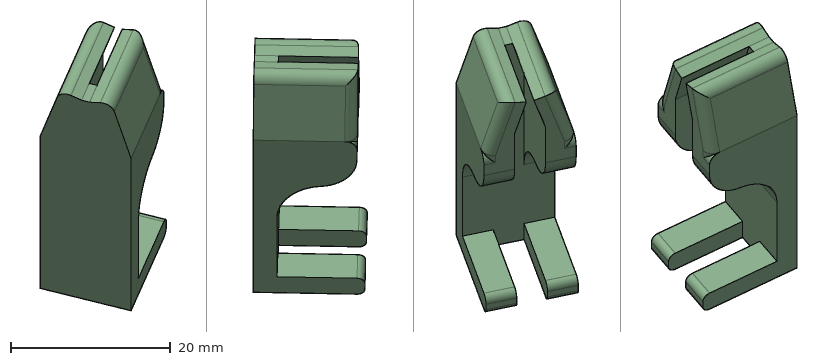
import math

import cadquery as cq

width = 12.0
height = 37.45
plate_thickness = 3.0

head_depth = 13.0
taper_angle = math.radians(15.5)
taper_base_z = 28.4
crown_radius = 1.5
crown_slope = taper_angle
valley_z = 37.0
head_edge_radius = 1.5

slot_mouth = 1.0
slot_flare_angle = taper_angle

arm_corner_radius = 1.5
belly_radius = 5.0
throat_radius = 6.0
throat_center_z = 14.0

leg_length = 14.0
leg_height = 3.0
leg_gap = 4.0
leg_tip_radius = 1.0

half_width = width / 2


def front_profile():
    """Outline in XZ: straight sides, taper, rounded shoulders and a shallow valley on top."""
    center_z = height - crown_radius
    center_x = (
        half_width
        - (center_z - taper_base_z) * math.tan(taper_angle)
        - crown_radius / math.cos(taper_angle)
    )
    outer_x = center_x + crown_radius * math.cos(taper_angle)
    outer_z = center_z + crown_radius * math.sin(taper_angle)
    inner_x = center_x - crown_radius * math.sin(crown_slope)
    inner_z = center_z + crown_radius * math.cos(crown_slope)
    valley_x = inner_x - (inner_z - valley_z) / math.tan(crown_slope)
    return (
        cq.Workplane("XZ")
        .moveTo(-half_width, 0)
        .lineTo(half_width, 0)
        .lineTo(half_width, taper_base_z)
        .lineTo(outer_x, outer_z)
        .threePointArc((center_x, height), (inner_x, inner_z))
        .lineTo(valley_x, valley_z)
        .lineTo(-valley_x, valley_z)
        .lineTo(-inner_x, inner_z)
        .threePointArc((-center_x, height), (-outer_x, outer_z))
        .lineTo(-half_width, taper_base_z)
        .close()
    )


def make_plate():
    return front_profile().extrude(-plate_thickness)


def make_rounded_envelope():
    """Block with the same sides and taper as the head, its far side edges rounded."""
    top_half_width = half_width - (height - taper_base_z) * math.tan(taper_angle)
    block = (
        cq.Workplane("XZ")
        .moveTo(-half_width, 0)
        .lineTo(half_width, 0)
        .lineTo(half_width, taper_base_z)
        .lineTo(top_half_width, height)
        .lineTo(-top_half_width, height)
        .lineTo(-half_width, taper_base_z)
        .close()
        .extrude(-head_depth)
    )
    return block.faces(">Y").edges("not |X").fillet(head_edge_radius)


def make_head():
    """Tapered head, reaching down just far enough to merge into the rounded arm corner."""
    head_base_z = taper_base_z - arm_corner_radius
    head_zone = cq.Workplane("XY", origin=(0, 0, head_base_z)).box(
        width, head_depth, height - head_base_z, centered=(True, False, False)
    )
    return front_profile().extrude(-head_depth).intersect(make_rounded_envelope()).intersect(head_zone)


def make_arm():
    """Full-width arm under the head; two tangent arcs form its S-shaped underside."""
    belly_center_y = head_depth - belly_radius
    throat_center_y = plate_thickness + throat_radius
    center_distance = belly_radius + throat_radius
    center_rise = math.sqrt(center_distance**2 - (throat_center_y - belly_center_y) ** 2)
    belly_center_z = throat_center_z + center_rise

    join_angle = math.atan2(center_rise, belly_center_y - throat_center_y)
    join = (
        throat_center_y + throat_radius * math.cos(join_angle),
        throat_center_z + throat_radius * math.sin(join_angle),
    )
    throat_mid_angle = (join_angle + math.pi) / 2
    throat_mid = (
        throat_center_y + throat_radius * math.cos(throat_mid_angle),
        throat_center_z + throat_radius * math.sin(throat_mid_angle),
    )
    belly_mid_angle = (join_angle - math.pi) / 2
    belly_mid = (
        belly_center_y + belly_radius * math.cos(belly_mid_angle),
        belly_center_z + belly_radius * math.sin(belly_mid_angle),
    )
    arm = (
        cq.Workplane("YZ")
        .moveTo(0, throat_center_z)
        .lineTo(plate_thickness, throat_center_z)
        .threePointArc(throat_mid, join)
        .threePointArc(belly_mid, (head_depth, belly_center_z))
        .lineTo(head_depth, taper_base_z)
        .lineTo(0, taper_base_z)
        .close()
        .extrude(half_width, both=True)
    )
    return arm.faces(">Z").edges(">Y").fillet(arm_corner_radius)


def make_slot():
    """Gap that splits the head and arm down to the plate, narrowest at the crown."""
    half_mouth = slot_mouth / 2
    half_gap = leg_gap / 2
    flare_end_z = valley_z - (half_gap - half_mouth) / math.tan(slot_flare_angle)
    return (
        cq.Workplane("XZ", origin=(0, plate_thickness, 0))
        .moveTo(-half_gap, 0)
        .lineTo(half_gap, 0)
        .lineTo(half_gap, flare_end_z)
        .lineTo(half_mouth, valley_z)
        .lineTo(half_mouth, height)
        .lineTo(-half_mouth, height)
        .lineTo(-half_mouth, valley_z)
        .lineTo(-half_gap, flare_end_z)
        .close()
        .extrude(plate_thickness - head_depth)
    )


def make_legs():
    """Pair of legs along the outer sides, with rounded tips."""
    bar = cq.Workplane("XY").box(width, leg_length, leg_height, centered=(True, False, False))
    bar = bar.faces(">Y").edges("|X").fillet(leg_tip_radius)
    gap = cq.Workplane("XY", origin=(0, plate_thickness, 0)).box(
        leg_gap, leg_length - plate_thickness, leg_height, centered=(True, False, False)
    )
    return bar.cut(gap)


split_head = make_arm().union(make_head()).cut(make_slot())
result = make_plate().union(split_head).union(make_legs())